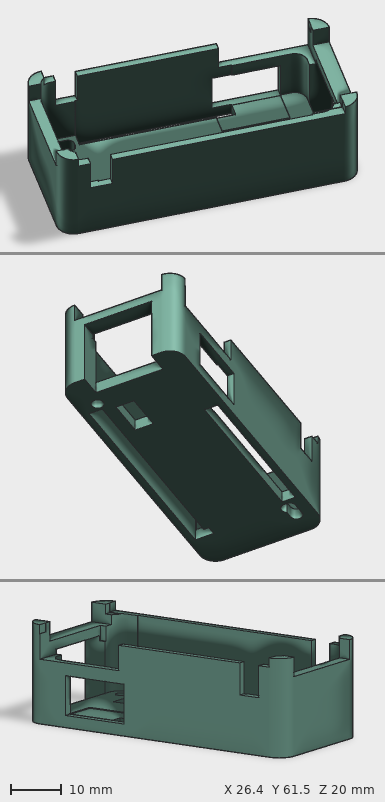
import cadquery as cq

width = 26.45
length = 61.5
height = 20.0
corner_radius = 3.5
half_width = width / 2
half_length = length / 2

floor_top = 2.6
side_wall = 1.69
cavity_back = 26.05
cavity_front = -28.4
cavity_radius = 2.6
cavity_half_width = half_width - side_wall

rim_z = 18.15
end_wall_z = 16.05
rim_back = 27.4
lid_seat_back = 27.35
rim_front = -27.2
post_inner_x = half_width - corner_radius
lid_seat_half_width = 11.1
lid_seat_depth = 0.1

notch_front = -24.7
notch_back = -20.2
notch_z = 11.7

clearance_z = 13.05
clearance_front = 8.65
clearance_right = 7.85

window_front = 7.4
window_back = 21.25
window_bottom = 2.45
pocket_bottom = 2.4
window_top = 10.45
pocket_right = -4.75

opening_half_width = 7.5
bar_bottom = 14.0

slot_outer_x = 11.75
slot_inner_x = 8.76
slot_front = -20.65
left_slot_back = 11.3
right_slot_back = 21.1
right_slot_end = -22.7
right_slot_foot_x = 7.6

floor_window_left = 2.1
floor_window_right = 6.15
floor_window_front = 12.35
floor_window_back = 20.35
hole_diameter = 2.6
hole_x = 8.85
hole_y = 22.85
keyhole_x = -9.35
keyhole_front = -25.45
keyhole_back = -22.8
keyhole_side_shift = 0.6


def block(x0, x1, y0, y1, z0, z1):
    """Box between two opposite corners."""
    return cq.Workplane("XY").box(x1 - x0, y1 - y0, z1 - z0, centered=False).translate((x0, y0, z0))


def floor_cylinder(x, y):
    """Round cutter through the floor."""
    return cq.Workplane("XY").center(x, y).circle(hole_diameter / 2).extrude(floor_top)


def make_shell():
    body = block(-half_width, half_width, -half_length, half_length, 0, height)
    body = body.edges("|Z").fillet(corner_radius)
    cavity = block(-cavity_half_width, cavity_half_width, cavity_front, cavity_back, floor_top, height)
    cavity = cavity.edges("|Z").fillet(cavity_radius)
    return body.cut(cavity)


def cut_upper_edges(body):
    left_rim = block(-half_width, -lid_seat_half_width, rim_front, rim_back, rim_z, height)
    right_rim = left_rim.mirror("YZ")
    lid_seat = block(-lid_seat_half_width, lid_seat_half_width, rim_front, lid_seat_back,
                     rim_z - lid_seat_depth, height)
    end_walls = block(-post_inner_x, post_inner_x, -half_length, half_length, end_wall_z, height)
    notches = block(-half_width, half_width, notch_front, notch_back, notch_z, height)
    return body.cut(left_rim).cut(right_rim).cut(lid_seat).cut(end_walls).cut(notches)


def cut_connector_openings(body):
    clearance = block(-half_width, clearance_right, clearance_front, lid_seat_back, clearance_z, height)
    window = block(-half_width, -cavity_half_width, window_front, window_back, window_bottom, window_top)
    pocket = block(-cavity_half_width, pocket_right, window_front, window_back, pocket_bottom, floor_top)
    opening = block(-opening_half_width, opening_half_width, cavity_back, half_length, 0, bar_bottom)
    return body.cut(clearance).cut(window).cut(pocket).cut(opening)


def cut_pin_slots(body):
    left = block(-slot_outer_x, -slot_inner_x, slot_front, left_slot_back, 0, height)
    right = block(slot_inner_x, slot_outer_x, right_slot_end, right_slot_back, 0, height)
    foot = block(right_slot_foot_x, slot_outer_x, right_slot_end, slot_front, 0, height)
    return body.cut(left).cut(right).cut(foot)


def cut_floor_holes(body):
    floor_window = block(floor_window_left, floor_window_right,
                         floor_window_front, floor_window_back, 0, floor_top)
    radius = hole_diameter / 2
    keyhole = block(keyhole_x - radius, keyhole_x + radius, keyhole_front, keyhole_back, 0, floor_top)
    body = body.cut(floor_window).cut(keyhole)
    round_centers = [
        (hole_x, hole_y),
        (keyhole_x, keyhole_front),
        (keyhole_x, keyhole_back),
        (keyhole_x + keyhole_side_shift, keyhole_back),
    ]
    for x, y in round_centers:
        body = body.cut(floor_cylinder(x, y))
    return body


shell = make_shell()
shell = cut_upper_edges(shell)
shell = cut_connector_openings(shell)
shell = cut_pin_slots(shell)
result = cut_floor_holes(shell)